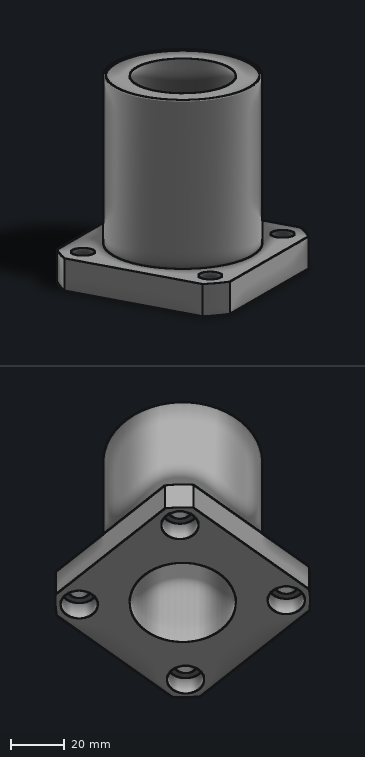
import cadquery as cq

flange_side = 75.0
flange_thickness = 13.0
corner_circle_diameter = 96

total_height = 80
sleeve_diameter = 60
bore_diameter = 40
rim_fillet = 0.5
recess_diameter = 58.0
recess_depth = 0.5

hole_count = 4
first_hole_angle = 45
bolt_circle_diameter = 78.0
bolt_hole_diameter = 9.0
counterbore_diameter = 14.0
counterbore_depth = 8.6


def cylinder(diameter, height):
    """Upright cylinder standing on the base plane, centred on the part axis."""
    return cq.Workplane("XY").circle(diameter / 2).extrude(height)


def make_flange():
    """Square plate whose corners are trimmed by a concentric cylinder."""
    square = cq.Workplane("XY").rect(flange_side, flange_side).extrude(flange_thickness)
    return square.intersect(cylinder(corner_circle_diameter, flange_thickness))


def make_sleeve():
    """Solid cylinder over the full height, with a rounded rim around a recessed end face."""
    rounded = cylinder(sleeve_diameter, total_height).faces(">Z").edges().fillet(rim_fillet)
    return rounded.faces(">Z").workplane().circle(recess_diameter / 2).cutBlind(-recess_depth)


def make_bolt_cylinders(diameter, height):
    """Cylinders standing on the base plane at every mounting hole position."""
    positions = cq.Workplane("XY").polarArray(bolt_circle_diameter / 2, first_hole_angle, 360, hole_count)
    return positions.circle(diameter / 2).extrude(height)


body = make_flange().union(make_sleeve())
body = body.cut(cylinder(bore_diameter, total_height))
body = body.cut(make_bolt_cylinders(bolt_hole_diameter, flange_thickness))
result = body.cut(make_bolt_cylinders(counterbore_diameter, counterbore_depth))